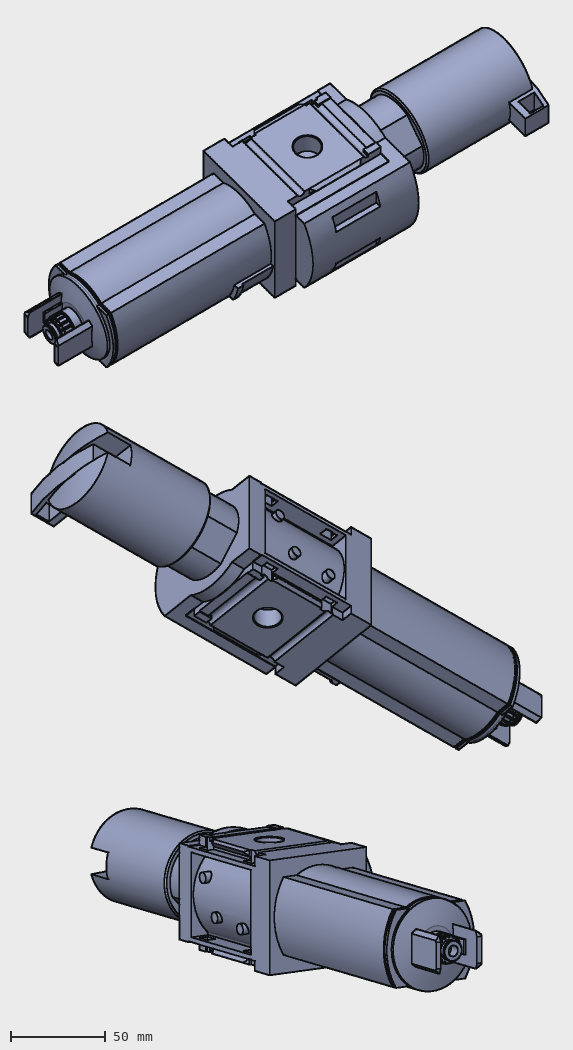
import cadquery as cq
import math


KNOB_TIP = 134.5
KNOB_SHOULDER = 131.5
SLOT_FLOOR = 115.8
KNOB_BASE = 60.5
BODY_TOP = 39.0
BLOCK_TOP = 30.5
COVER_BOTTOM = -31.5
BODY_BOTTOM = -45.5
BOWL_BOTTOM = -151.0
DOME_RIM = -152.5
DOME_FLAT = -155.7
LUG_TIP = -177.5

OVERALL_WIDTH = 77.0
HALF_SIZE = 62.0 / 2
PLATE_HALF_HEIGHT = 52.0 / 2
STRIP_HALF_HEIGHT = 25.5
PAD_HALF_WIDTH = 24.0
BONNET_RADIUS = HALF_SIZE

PORT_DIAMETER = 15.0
PORT_MOUTH_DIAMETER = 16.0
PORT_DEPTH = 12.5
UPPER_GROOVE_Y = (19.5, 25.0)
LOWER_GROOVE_Y = (-25.0, -20.3)
GROOVE_DEPTH = 2.0
LAND_HALF_WIDTH = 19.7
LAND_DEPTH = 0.5
LAND_CORNER_Y = 22.0
TAB_REACH = 2.8
TAB_HALF_LENGTH = 17.2
TAB_TIP_HALF_LENGTH = 14.7
TAB_TIP_Z = 30.0
TAB_ROOT_Z = 27.0

COVER_FLAT_X = 38.5
COVER_TIP_X = OVERALL_WIDTH - HALF_SIZE
STEP_X = 41.0
STEP_Z = 12.8
STEP_HALF_LENGTH = 14.7

POCKET_HALF_LENGTH = 56.0 / 2
POCKET_HALF_HEIGHT = 46.0 / 2
CORE_RADIUS = 29.5
CORE_HALF_HEIGHT = 21.0
CORE_FOOT_X = 20.0
PIN_DIAMETER = 6.0
PIN_TIP_X = -31.0
PIN_YZ = ((17.5, 11.0), (6.2, -8.7), (-17.5, -11.0))
WINDOW_LENGTH = 7.5
WINDOW_Y = 20.5
WINDOW_X = (-28.0, -23.0)

KNOB_DIAMETER = 51.0
KNOB_CHAMFER = 1.0
STEM_RADIUS = 44.5 / 2
STEM_FLAT_DISTANCE = 20.3
STEM_FLAT_ANGLE = 45
SLIDE_THICKNESS = 14.5
SLIDE_SHIFT = 13.0
EYE_X = (26.8, 37.0)
EYE_FLOOR_Y = 120.0
EYE_TOP_Y = (130.7, 129.0)

BOWL_HALF_WIDTH = 28.0
BOWL_FLAT_Z = 42.0 / 2
BOWL_CORNER_X = 22.0
BOWL_RADIUS = 50.2 / 2
DOME_FLAT_RADIUS = 11.0
DOME_MID = (18.7, -154.0)
SEAM_Y = -148.0
SEAM_WIDTH = 1.2
SEAM_DEPTH = 0.5

LATCH_THICKNESS = 2.03
LATCH_BOTTOM = -66.0
HOOK_THICKNESS = 3.0
HOOK_BOTTOM = -70.0
LATCH_Z = (-19.7, -6.5)

DRAIN_STEPS = (
    (16.0, -160.7),
    (11.0, -161.5),
    (16.0, -166.5),
    (15.0, -168.5),
    (11.0, -170.7),
    (10.0, -171.3),
    (11.0, -172.2),
)
DRAIN_BORE = 6.0
DRAIN_BORE_DEPTH = 6.2
KNURL_TOP = -161.5
KNURL_BOTTOM = -168.5
KNURL_COUNT = 16
KNURL_WIDTH = 1.0
KNURL_DEPTH = 1.2
LUG_X = (11.5, 14.7)
LUG_HALF_HEIGHT = 10.3
LUG_BEVEL_X = 2.8
LUG_BEVEL_Z = 2.2
LUG_TIP_BEVEL_Y = 1.2
LUG_TIP_BEVEL_Z = 3.0
LUG_RIB_X = 10.3
LUG_RIB_HALF_HEIGHT = 4.0
LUG_RIB_BOTTOM = -167.3

OVERLAP = 1.5


def box(x_range, y_range, z_range):
    """Box given by its lower and upper limit along each axis."""
    (x0, x1), (y0, y1), (z0, z1) = x_range, y_range, z_range
    return cq.Workplane("XY").box(x1 - x0, y1 - y0, z1 - z0, centered=False).translate((x0, y0, z0))


def section_plane(y):
    """Sketch plane across the main axis: X right, Z up, extruding toward -Y."""
    return cq.Workplane("XZ", origin=(0, y, 0))


def cylinder_y(radius, top, bottom):
    """Cylinder on the main axis."""
    return section_plane(top).circle(radius).extrude(top - bottom)


def both_z(shape):
    """The shape together with its mirror image below Z = 0."""
    return shape.union(shape.mirror("XY"))


def both_x(shape):
    """The shape together with its mirror image across X = 0."""
    return shape.union(shape.mirror("YZ"))


def make_cover_plate():
    """Plate through the body whose +X end is the bulged front cover, lowered beside the pads."""
    plate = (
        section_plane(BODY_TOP)
        .moveTo(-HALF_SIZE, -PLATE_HALF_HEIGHT)
        .lineTo(COVER_FLAT_X, -PLATE_HALF_HEIGHT)
        .threePointArc((COVER_TIP_X, 0), (COVER_FLAT_X, PLATE_HALF_HEIGHT))
        .lineTo(-HALF_SIZE, PLATE_HALF_HEIGHT)
        .close()
        .extrude(BODY_TOP - COVER_BOTTOM)
    )
    step = box((STEP_X, COVER_TIP_X), (-STEP_HALF_LENGTH, STEP_HALF_LENGTH), (STEP_Z, PLATE_HALF_HEIGHT))
    strips = box(
        (-HALF_SIZE, HALF_SIZE),
        (COVER_BOTTOM, BLOCK_TOP),
        (STRIP_HALF_HEIGHT, PLATE_HALF_HEIGHT),
    )
    return plate.cut(both_z(step)).cut(both_z(strips))


def make_tabs():
    """Pointed tabs along both sides of the upper pad."""
    tip_x = PAD_HALF_WIDTH + TAB_REACH
    root_x = PAD_HALF_WIDTH - OVERLAP
    section = (
        section_plane(TAB_HALF_LENGTH)
        .polyline(
            [
                (root_x, HALF_SIZE),
                (PAD_HALF_WIDTH, HALF_SIZE),
                (tip_x, TAB_TIP_Z),
                (PAD_HALF_WIDTH, TAB_ROOT_Z),
                (root_x, TAB_ROOT_Z),
            ]
        )
        .close()
        .extrude(2 * TAB_HALF_LENGTH)
    )
    outline = (
        cq.Workplane("XY")
        .polyline(
            [
                (root_x, TAB_HALF_LENGTH),
                (PAD_HALF_WIDTH, TAB_HALF_LENGTH),
                (tip_x, TAB_TIP_HALF_LENGTH),
                (tip_x, -TAB_TIP_HALF_LENGTH),
                (PAD_HALF_WIDTH, -TAB_HALF_LENGTH),
                (root_x, -TAB_HALF_LENGTH),
            ]
        )
        .close()
        .extrude(HALF_SIZE + OVERLAP)
    )
    return both_x(section.intersect(outline))


def make_groove(y_range):
    """Hollow groove across the upper pad."""
    low, high = y_range
    return (
        cq.Workplane("YZ", origin=(-PAD_HALF_WIDTH, 0, 0))
        .moveTo(low, HALF_SIZE)
        .threePointArc(((low + high) / 2, HALF_SIZE - GROOVE_DEPTH), (high, HALF_SIZE))
        .close()
        .extrude(2 * PAD_HALF_WIDTH)
    )


def make_pad_cuts():
    """Port, cross grooves and lowered land in the upper pad."""
    cuts = cq.Workplane("XY", origin=(0, 0, HALF_SIZE)).circle(PORT_DIAMETER / 2).extrude(-PORT_DEPTH)
    mouth_depth = (PORT_MOUTH_DIAMETER - PORT_DIAMETER) / 2
    mouth = cq.Solid.makeCone(
        PORT_DIAMETER / 2,
        PORT_MOUTH_DIAMETER / 2,
        mouth_depth,
        pnt=cq.Vector(0, 0, HALF_SIZE - mouth_depth),
    )
    cuts = cuts.union(cq.Workplane(mouth))
    lower_groove = make_groove(LOWER_GROOVE_Y)
    upper_groove = make_groove(UPPER_GROOVE_Y)
    corner_top = UPPER_GROOVE_Y[1]
    for side in (-1, 1):
        corner_x = sorted((side * LAND_HALF_WIDTH, side * PAD_HALF_WIDTH))
        corner = box(corner_x, (LAND_CORNER_Y, corner_top), (PLATE_HALF_HEIGHT, HALF_SIZE))
        upper_groove = upper_groove.cut(corner)
    land = box(
        (-LAND_HALF_WIDTH, LAND_HALF_WIDTH),
        (corner_top - LAND_DEPTH, BLOCK_TOP),
        (HALF_SIZE - LAND_DEPTH, HALF_SIZE),
    )
    return cuts.union(lower_groove).union(upper_groove).union(land)


def make_pocket():
    """Side pocket at -X that leaves the round valve core standing inside it."""
    core_edge_x = math.sqrt(CORE_RADIUS**2 - CORE_HALF_HEIGHT**2)
    outside_x = -HALF_SIZE - OVERLAP
    return (
        section_plane(POCKET_HALF_LENGTH)
        .moveTo(outside_x, POCKET_HALF_HEIGHT)
        .lineTo(-CORE_FOOT_X, POCKET_HALF_HEIGHT)
        .lineTo(-core_edge_x, CORE_HALF_HEIGHT)
        .threePointArc((-CORE_RADIUS, 0), (-core_edge_x, -CORE_HALF_HEIGHT))
        .lineTo(-CORE_FOOT_X, -POCKET_HALF_HEIGHT)
        .lineTo(outside_x, -POCKET_HALF_HEIGHT)
        .close()
        .extrude(2 * POCKET_HALF_LENGTH)
    )


def make_pocket_windows():
    """Rectangular openings from the upper strip into the side pocket."""
    windows = cq.Workplane("XY")
    for y in (WINDOW_Y, -WINDOW_Y):
        y_range = (y - WINDOW_LENGTH / 2, y + WINDOW_LENGTH / 2)
        windows = windows.union(box(WINDOW_X, y_range, (CORE_HALF_HEIGHT, HALF_SIZE)))
    return windows


def make_pins():
    """Short pins that stand on the valve core."""
    pins = cq.Workplane("YZ", origin=(PIN_TIP_X, 0, 0))
    return pins.pushPoints(PIN_YZ).circle(PIN_DIAMETER / 2).extrude(CORE_RADIUS - CORE_FOOT_X)


def make_valve_body():
    """Block with pads above and below, front cover and side pocket."""
    full = (-HALF_SIZE, HALF_SIZE)
    body = make_cover_plate()
    body = body.union(box(full, (BODY_BOTTOM, COVER_BOTTOM), full))
    body = body.union(box((-PAD_HALF_WIDTH, PAD_HALF_WIDTH), (COVER_BOTTOM, BLOCK_TOP), full))
    body = body.union(cylinder_y(BONNET_RADIUS, BODY_TOP, BLOCK_TOP))
    body = body.union(both_z(make_tabs()))
    body = body.cut(both_z(make_pad_cuts()))
    body = body.cut(make_pocket()).cut(both_z(make_pocket_windows()))
    return body.union(make_pins())


def make_stem():
    """Round stem with two opposite flats set at an angle."""
    flats = (
        section_plane(KNOB_BASE)
        .rect(2 * STEM_FLAT_DISTANCE, 4 * STEM_RADIUS)
        .extrude(KNOB_BASE - BODY_TOP)
        .rotate((0, 0, 0), (0, 1, 0), -STEM_FLAT_ANGLE)
    )
    return cylinder_y(STEM_RADIUS, KNOB_BASE, BODY_TOP).intersect(flats)


def dome_drop(distance):
    """How far the domed knob end falls below its tip at a distance from its middle."""
    rim = KNOB_DIAMETER / 2
    rim_drop = KNOB_TIP - KNOB_SHOULDER
    sphere_radius = (rim**2 + rim_drop**2) / (2 * rim_drop)
    return sphere_radius - math.sqrt(sphere_radius**2 - distance**2)


def slide_z():
    """Limits of the locking slide and its slot along Z."""
    return (-SLIDE_THICKNESS / 2, SLIDE_THICKNESS / 2)


def make_knob():
    """Domed knob with a slot across its end for the locking slide."""
    radius = KNOB_DIAMETER / 2
    knob = (
        cq.Workplane("XY")
        .moveTo(0, KNOB_BASE)
        .lineTo(radius - KNOB_CHAMFER, KNOB_BASE)
        .lineTo(radius, KNOB_BASE + KNOB_CHAMFER)
        .lineTo(radius, KNOB_SHOULDER)
        .threePointArc((radius / 2, KNOB_TIP - dome_drop(radius / 2)), (0, KNOB_TIP))
        .close()
        .revolve(360, (0, 0, 0), (0, 1, 0))
    )
    slot = box((-KNOB_DIAMETER, KNOB_DIAMETER), (SLOT_FLOOR, KNOB_TIP + OVERLAP), slide_z())
    return knob.cut(slot)


def make_bowl_section(y):
    """Bowl cross-section: flats above and below, bulged sides, round crown in each flat."""
    crown_x = math.sqrt(BOWL_RADIUS**2 - BOWL_FLAT_Z**2)
    return (
        section_plane(y)
        .moveTo(BOWL_CORNER_X, BOWL_FLAT_Z)
        .lineTo(crown_x, BOWL_FLAT_Z)
        .threePointArc((0, BOWL_RADIUS), (-crown_x, BOWL_FLAT_Z))
        .lineTo(-BOWL_CORNER_X, BOWL_FLAT_Z)
        .threePointArc((-BOWL_HALF_WIDTH, 0), (-BOWL_CORNER_X, -BOWL_FLAT_Z))
        .lineTo(-crown_x, -BOWL_FLAT_Z)
        .threePointArc((0, -BOWL_RADIUS), (crown_x, -BOWL_FLAT_Z))
        .lineTo(BOWL_CORNER_X, -BOWL_FLAT_Z)
        .threePointArc((BOWL_HALF_WIDTH, 0), (BOWL_CORNER_X, BOWL_FLAT_Z))
        .close()
    )


def make_bowl():
    """Bowl with a seam near its end and a domed bottom."""
    bowl = make_bowl_section(BODY_BOTTOM).extrude(BODY_BOTTOM - BOWL_BOTTOM)
    seam_core = make_bowl_section(SEAM_Y).offset2D(-SEAM_DEPTH).extrude(SEAM_WIDTH)
    bowl = bowl.cut(make_bowl_section(SEAM_Y).extrude(SEAM_WIDTH).cut(seam_core))
    dome = (
        cq.Workplane("XY")
        .moveTo(0, BOWL_BOTTOM + OVERLAP)
        .lineTo(BOWL_RADIUS, BOWL_BOTTOM + OVERLAP)
        .lineTo(BOWL_RADIUS, DOME_RIM)
        .threePointArc(DOME_MID, (DOME_FLAT_RADIUS, DOME_FLAT))
        .lineTo(0, DOME_FLAT)
        .close()
        .revolve(360, (0, 0, 0), (0, 1, 0))
    )
    return bowl.union(dome)


def make_latch():
    """Thin latch that hugs the bowl side and ends in a hook."""
    sag = BOWL_HALF_WIDTH - BOWL_CORNER_X
    side_radius = (BOWL_FLAT_Z**2 + sag**2) / (2 * sag)
    center_x = BOWL_HALF_WIDTH - side_radius

    def shell(thickness, top, bottom):
        ring = (
            section_plane(top)
            .center(center_x, 0)
            .circle(side_radius + thickness)
            .circle(side_radius - OVERLAP)
            .extrude(top - bottom)
        )
        return ring.intersect(box((0, HALF_SIZE), (bottom, top), LATCH_Z))

    latch = shell(LATCH_THICKNESS, BODY_BOTTOM, LATCH_BOTTOM)
    return latch.union(shell(HOOK_THICKNESS, LATCH_BOTTOM, HOOK_BOTTOM))


def make_drain():
    """Stepped drain spigot with a knurled band and a bore."""
    drain = cylinder_y(DRAIN_STEPS[0][0] / 2, DOME_FLAT + OVERLAP, DOME_FLAT)
    top = DOME_FLAT
    for diameter, bottom in DRAIN_STEPS:
        drain = drain.union(cylinder_y(diameter / 2, top, bottom))
        top = bottom
    notches = (
        section_plane(KNURL_TOP)
        .polarArray(DRAIN_STEPS[0][0] / 2, 0, 360, KNURL_COUNT)
        .rect(2 * KNURL_DEPTH, KNURL_WIDTH)
        .extrude(KNURL_TOP - KNURL_BOTTOM)
    )
    bore = cylinder_y(DRAIN_BORE / 2, top + DRAIN_BORE_DEPTH, top)
    return drain.cut(notches).cut(bore)


def make_lugs():
    """Two guard lugs beside the drain, each with a rib on its inner side."""
    root = DOME_FLAT + 2 * OVERLAP
    inner_x, outer_x = LUG_X
    flat_z = LUG_HALF_HEIGHT - LUG_BEVEL_Z
    lug = (
        section_plane(root)
        .polyline(
            [
                (inner_x, LUG_HALF_HEIGHT),
                (outer_x - LUG_BEVEL_X, LUG_HALF_HEIGHT),
                (outer_x, flat_z),
                (outer_x, -flat_z),
                (outer_x - LUG_BEVEL_X, -LUG_HALF_HEIGHT),
                (inner_x, -LUG_HALF_HEIGHT),
            ]
        )
        .close()
        .extrude(root - LUG_TIP)
    )
    tip_bevel = (
        cq.Workplane("YZ")
        .polyline(
            [
                (LUG_TIP, LUG_HALF_HEIGHT),
                (LUG_TIP + LUG_TIP_BEVEL_Y, LUG_HALF_HEIGHT),
                (LUG_TIP, LUG_HALF_HEIGHT - LUG_TIP_BEVEL_Z),
            ]
        )
        .close()
        .extrude(outer_x)
    )
    lug = lug.cut(both_z(tip_bevel))
    rib = box(
        (LUG_RIB_X, (inner_x + outer_x) / 2),
        (LUG_RIB_BOTTOM, root),
        (-LUG_RIB_HALF_HEIGHT, LUG_RIB_HALF_HEIGHT),
    )
    return both_x(lug.union(rib))


def make_regulator():
    """Regulator body with stem, knob, bowl, latch, drain and lugs."""
    regulator = make_valve_body()
    for part in (make_stem(), make_knob(), make_bowl(), make_latch(), make_drain(), make_lugs()):
        regulator = regulator.union(part)
    return regulator


def make_locking_slide():
    """Slide pulled out of the knob slot, with an eye for a padlock."""
    half_length = KNOB_DIAMETER / 2
    left = SLIDE_SHIFT - half_length
    right = SLIDE_SHIFT + half_length
    z_low, z_high = slide_z()
    slide = (
        cq.Workplane("XY", origin=(0, 0, z_low))
        .moveTo(left, SLOT_FLOOR)
        .lineTo(right, SLOT_FLOOR)
        .lineTo(right, KNOB_SHOULDER)
        .threePointArc((SLIDE_SHIFT, KNOB_TIP), (left, KNOB_SHOULDER))
        .close()
        .extrude(z_high - z_low)
    )
    eye = (
        cq.Workplane("XY", origin=(0, 0, z_low))
        .polyline(
            [
                (EYE_X[0], EYE_FLOOR_Y),
                (EYE_X[1], EYE_FLOOR_Y),
                (EYE_X[1], EYE_TOP_Y[1]),
                (EYE_X[0], EYE_TOP_Y[0]),
            ]
        )
        .close()
        .extrude(z_high - z_low)
    )
    return slide.cut(eye)


regulator = make_regulator()
locking_slide = make_locking_slide()

result = cq.Compound.makeCompound([regulator.val(), locking_slide.val()])